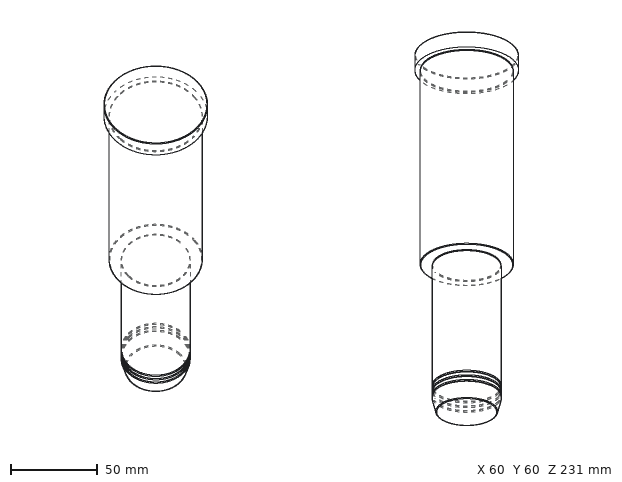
import cadquery as cq

total_length = 231.0
head_diameter = 60.0
head_thickness = 10.0
head_chamfer = 0.5
body_diameter = 54.0
body_length = 126.0
body_chamfer = 0.5
pin_diameter = 40.0

relief_width = 0.7
relief_depth = 0.2

tip_diameter = 35.5
tip_length = 8.3
tip_chamfer = 0.5

groove_count = 3
groove_width = 1.2
groove_depth = 0.5
groove_pitch = 3.0
first_groove_height = 10.0

head_bottom = total_length - head_thickness
body_bottom = head_bottom - body_length


def cylinder(diameter, bottom, height):
    """Upright cylinder on the Z axis."""
    return cq.Workplane("XY").workplane(offset=bottom).circle(diameter / 2).extrude(height)


def make_lead_in():
    """Cone that widens from the tip to the full pin diameter."""
    cone = (
        cq.Workplane("XY")
        .circle(tip_diameter / 2)
        .workplane(offset=tip_length)
        .circle(pin_diameter / 2)
        .loft(ruled=True)
    )
    return cone.faces("<Z").chamfer(tip_chamfer)


def make_groove(bottom):
    """V-section ring of material to remove from the pin surface."""
    radius = pin_diameter / 2
    section = (
        cq.Workplane("XZ")
        .moveTo(radius, bottom)
        .lineTo(radius - groove_depth, bottom + groove_width / 2)
        .lineTo(radius, bottom + groove_width)
        .close()
    )
    return section.revolve(360, (0, 0, 0), (0, 1, 0))


def make_stepped_cylinder(diameter, bottom, top):
    """Cylinder with a shallow relief neck at its top, just under the shoulder above it."""
    neck_bottom = top - relief_width
    main = cylinder(diameter, bottom, neck_bottom - bottom)
    neck = cylinder(diameter - 2 * relief_depth, neck_bottom, relief_width)
    return main.union(neck)


head = cylinder(head_diameter, head_bottom, head_thickness).faces(">Z").chamfer(head_chamfer)
body = make_stepped_cylinder(body_diameter, body_bottom, head_bottom).faces("<Z").chamfer(body_chamfer)
pin = make_stepped_cylinder(pin_diameter, tip_length, body_bottom)

result = head.union(body).union(pin).union(make_lead_in())
for index in range(groove_count):
    result = result.cut(make_groove(first_groove_height + index * groove_pitch))